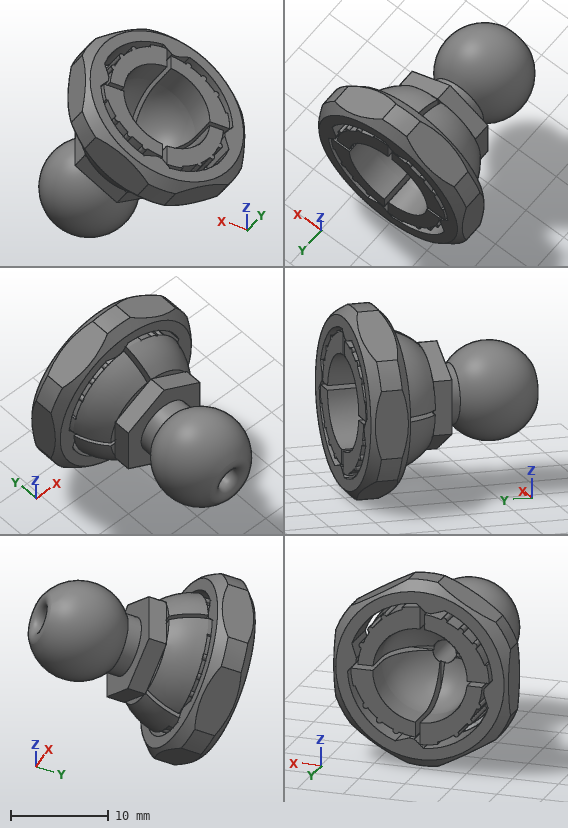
import cadquery as cq
import math


BALL_R = 5.22
BORE_R = 1.25
BORE_FILLET = 1.0
STEM_R = 3.2
STEM_LENGTH = 1.5

HEX_ACROSS_FLATS = 10.0
HEX_THICKNESS = 2.0
DOME_HEIGHT = 3.6
RIM_R = 7.5
DOME_CENTRE_DEPTH = 1.65
CAVITY_R = 5.13
SLOT_WIDTH = 0.5
QUARTERS = 4

STOP_WIDTH = 1.93
COLLAR_START_R = 7.28
COLLAR_MIDDLE_R = 6.91
COLLAR_END_R = 6.77
COLLAR_MIDDLE_ANGLE = 50.0
BUMP_R = 0.32
BUMP_ANGLE = 33.5
BUMP_PITCH = 17.0
BUMP_CENTRE_R = 7.07
BUMP_DROP = 0.13
BUMP_COUNT = 3

NUT_ACROSS_FLATS = 19.0
NUT_CORNER_R = 10.17
NUT_THICKNESS = 4.3
NUT_CHAMFER = 1.02
NUT_BORE_R = 7.88
NUT_GAP = 0.25
LUG_TIP_R = 7.0
LUG_TIP_START = 5.0
LUG_TIP_END = 9.5
LUG_ROOT_START = -2.8
LUG_ROOT_END = 20.0

STEM_START = math.sqrt(BALL_R**2 - STEM_R**2)
HEX_FRONT = STEM_START + STEM_LENGTH
HEX_BACK = HEX_FRONT + HEX_THICKNESS
RIM = HEX_BACK + DOME_HEIGHT
DOME_CENTRE = RIM + DOME_CENTRE_DEPTH
NUT_FRONT = RIM + NUT_GAP
NUT_BACK = NUT_FRONT + NUT_THICKNESS


def polar(radius, angle):
    """Point in the XZ plane, with the angle in degrees from X towards Z."""
    return radius * math.cos(math.radians(angle)), radius * math.sin(math.radians(angle))


def plane_at(y):
    """Workplane across the axis; negative extrusions run towards +Y."""
    return cq.Workplane("XZ", origin=(0, y, 0))


def revolve_about_axis(profile):
    return profile.close().revolve(360, (0, 0, 0), (0, 1, 0))


def hexagon(y, across_flats, thickness):
    """Hexagonal prism with two flats facing +X and -X."""
    corner_r = across_flats / math.sqrt(3)
    corners = [polar(corner_r, 30 + 60 * i) for i in range(6)]
    return plane_at(y).polyline(corners).close().extrude(-thickness)


def repeat_in_quarters(shape):
    """The shape with its copies turned about the Y axis, joined together."""
    copies = shape
    for i in range(1, QUARTERS):
        copies = copies.union(shape.rotate((0, 0, 0), (0, 1, 0), i * 360 / QUARTERS))
    return copies


def ball_and_stem():
    fillet_x = BORE_R + BORE_FILLET
    fillet_y = -math.sqrt((BALL_R - BORE_FILLET)**2 - fillet_x**2)
    tangent_scale = BALL_R / (BALL_R - BORE_FILLET)
    fillet_end = (fillet_x * tangent_scale, fillet_y * tangent_scale)
    profile = (
        cq.Workplane("XY")
        .moveTo(BORE_R, HEX_FRONT)
        .lineTo(BORE_R, fillet_y)
        .threePointArc((fillet_x, fillet_y - BORE_FILLET), fillet_end)
        .threePointArc((BALL_R, 0), (STEM_R, STEM_START))
        .lineTo(STEM_R, HEX_FRONT)
    )
    return revolve_about_axis(profile)


def dome():
    sphere_r = math.hypot(RIM_R, DOME_CENTRE_DEPTH)
    top_r = math.sqrt(sphere_r**2 - (DOME_CENTRE - HEX_BACK)**2)
    middle_y = (HEX_BACK + RIM) / 2
    middle_r = math.sqrt(sphere_r**2 - (DOME_CENTRE - middle_y)**2)
    profile = (
        cq.Workplane("XY")
        .moveTo(0, HEX_BACK)
        .lineTo(top_r, HEX_BACK)
        .threePointArc((middle_r, middle_y), (RIM_R, RIM))
        .lineTo(0, RIM)
    )
    return revolve_about_axis(profile)


def collar_quarter():
    """Quarter of the collar between +Z and +X: a stop block, then a falling cam with bumps."""
    length = NUT_BACK - RIM
    stop_angle = 90 - math.degrees(math.asin(STOP_WIDTH / RIM_R))
    stop_middle = polar(RIM_R, (90 + stop_angle) / 2)
    cam_start = (STOP_WIDTH, math.sqrt(COLLAR_START_R**2 - STOP_WIDTH**2))
    quarter = (
        plane_at(RIM)
        .lineTo(0, RIM_R)
        .threePointArc(stop_middle, polar(RIM_R, stop_angle))
        .lineTo(*cam_start)
        .threePointArc(polar(COLLAR_MIDDLE_R, 90 - COLLAR_MIDDLE_ANGLE), (COLLAR_END_R, 0))
        .close()
        .extrude(-length)
    )
    bump_centres = []
    for i in range(BUMP_COUNT):
        bump_centres.append(polar(BUMP_CENTRE_R - i * BUMP_DROP, 90 - BUMP_ANGLE - i * BUMP_PITCH))
    bumps = plane_at(RIM).pushPoints(bump_centres).circle(BUMP_R).extrude(-length)
    return quarter.union(bumps)


def cavity():
    """Round-bottomed recess, open at the back."""
    profile = (
        cq.Workplane("XY")
        .moveTo(0, DOME_CENTRE - CAVITY_R)
        .threePointArc(
            (CAVITY_R * math.sqrt(0.5), DOME_CENTRE - CAVITY_R * math.sqrt(0.5)),
            (CAVITY_R, DOME_CENTRE),
        )
        .lineTo(CAVITY_R, NUT_BACK)
        .lineTo(0, NUT_BACK)
    )
    return revolve_about_axis(profile)


def slots():
    """Slots from the axis outwards, each with one wall on a plane through the axis."""
    slot = (
        plane_at(HEX_BACK)
        .rect(NUT_BORE_R, SLOT_WIDTH, centered=False)
        .extrude(-(NUT_BACK - HEX_BACK))
    )
    return repeat_in_quarters(slot)


def build_ball_insert():
    flexible_part = dome().union(repeat_in_quarters(collar_quarter()))
    flexible_part = flexible_part.cut(cavity()).cut(slots())
    bore = plane_at(HEX_FRONT).circle(BORE_R).extrude(-(NUT_BACK - HEX_FRONT))
    drive = hexagon(HEX_FRONT, HEX_ACROSS_FLATS, HEX_THICKNESS)
    return drive.union(flexible_part).cut(bore).union(ball_and_stem())


def nut_lug():
    """Tapered lug pointing inwards from the nut bore."""
    wall_r = (NUT_BORE_R + NUT_ACROSS_FLATS / 2) / 2
    tip_middle = polar(LUG_TIP_R, (LUG_TIP_START + LUG_TIP_END) / 2)
    return (
        plane_at(NUT_FRONT)
        .moveTo(*polar(wall_r, LUG_ROOT_START))
        .lineTo(*polar(NUT_BORE_R, LUG_ROOT_START))
        .lineTo(*polar(LUG_TIP_R, LUG_TIP_START))
        .threePointArc(tip_middle, polar(LUG_TIP_R, LUG_TIP_END))
        .lineTo(*polar(NUT_BORE_R, LUG_ROOT_END))
        .lineTo(*polar(wall_r, LUG_ROOT_END))
        .close()
        .extrude(-NUT_THICKNESS)
    )


def build_nut():
    blank = plane_at(NUT_FRONT).circle(NUT_CORNER_R).extrude(-NUT_THICKNESS).edges().chamfer(NUT_CHAMFER)
    ring = blank.intersect(hexagon(NUT_FRONT, NUT_ACROSS_FLATS, NUT_THICKNESS))
    ring = ring.cut(plane_at(NUT_FRONT).circle(NUT_BORE_R).extrude(-NUT_THICKNESS))
    return ring.union(repeat_in_quarters(nut_lug()))


ball_insert = build_ball_insert()
nut = build_nut()

result = cq.Compound.makeCompound([ball_insert.solids().val(), nut.solids().val()])